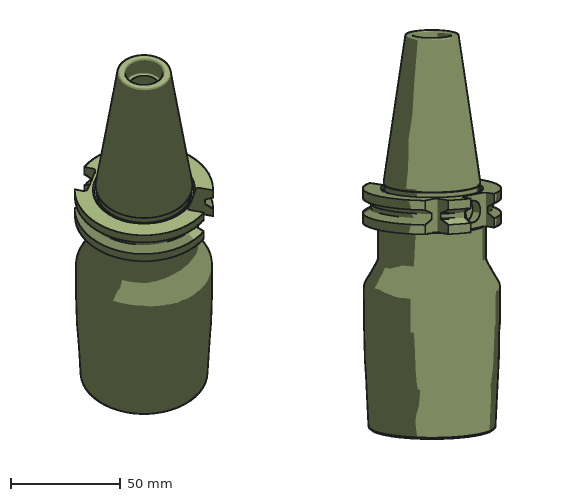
import cadquery as cq
import math

total_height = 183.4
gauge_z = 115.0
gauge_band_height = 1.1
flange_top_z = 111.7
flange_bottom_z = 96.0
neck_bottom_z = 78.3
shoulder_bottom_z = 67.0
body_bottom_z = 49.9
nose_cone_z = 23.3

body_diameter = 62.5
gauge_radius = 22.2
relief_radius = 21.8
flange_radius = 31.7
groove_radius = 28.0
neck_radius = 24.8
body_radius = body_diameter / 2
nose_cone_radius = 30.3
nose_radius = 29.2

taper_slope = 7 / 24
groove_flank_angle = math.radians(30)
nose_chamfer = 1.0
taper_end_round = 1.0
shoulder_blend = 4.5
groove_root_round = 0.5

face_groove_radius = 23.5
face_groove_floor_radius = 22.7
face_groove_depth = 1.0
neck_fillet = 0.7

groove_mouth_width = 7.0
groove_z = (flange_top_z + flange_bottom_z) / 2

bore_mouth_radius = 9.5
bore_radius = 8.6
bore_depth = 8.5
bore_floor_round = 0.5
thread_radius = 7.0
thread_depth = 31.2
drill_point_angle = math.radians(59)

slot_width = 16.1
slot_floor_left = 25.0
slot_floor_right = 22.7
notch_wall = 18.3
corner_radius = 1.7
chip_diameter = 10.0
chip_depth = 4.5

flange_height = flange_top_z - flange_bottom_z
clear_radius = flange_radius + 1.8


def make_outer_body():
    """Revolve the taper, flange, neck, shoulder and barrel-shaped chuck."""
    top_radius = gauge_radius - (total_height - gauge_z) * taper_slope / 2
    relief_top_z = gauge_z - gauge_band_height
    relief_step = gauge_radius - relief_radius
    groove_floor_z = flange_top_z - face_groove_depth
    profile = (
        cq.Workplane("XZ")
        .moveTo(0, total_height)
        .lineTo(top_radius, total_height)
        .lineTo(gauge_radius, gauge_z)
        .lineTo(gauge_radius, relief_top_z)
        .lineTo(relief_radius, relief_top_z - relief_step)
        .lineTo(relief_radius, groove_floor_z)
        .lineTo(face_groove_floor_radius, groove_floor_z)
        .lineTo(face_groove_radius, flange_top_z)
        .lineTo(flange_radius, flange_top_z)
        .lineTo(flange_radius, flange_bottom_z)
        .lineTo(neck_radius, flange_bottom_z)
        .lineTo(neck_radius, neck_bottom_z)
        .lineTo(body_radius, shoulder_bottom_z)
        .lineTo(body_radius, body_bottom_z)
        .tangentArcPoint((nose_cone_radius, nose_cone_z), relative=False)
        .lineTo(nose_radius, nose_chamfer)
        .lineTo(nose_radius - nose_chamfer, 0)
        .lineTo(0, 0)
        .close()
    )
    body = profile.revolve(360, (0, 0, 0), (0, 1, 0))
    for corner_z in (neck_bottom_z, shoulder_bottom_z):
        body = body.edges(circle_at(corner_z)).fillet(shoulder_blend)
    neck_corner = cq.selectors.RadiusNthSelector(0)
    body = body.edges(circle_at(flange_bottom_z)).edges(neck_corner).fillet(neck_fillet)
    return body.edges(circle_at(total_height)).fillet(taper_end_round)


def circle_at(z):
    """Select the edges lying at height z."""
    margin = 0.02
    low_corner = (-clear_radius, -clear_radius, z - margin)
    high_corner = (clear_radius, clear_radius, z + margin)
    return cq.selectors.BoxSelector(low_corner, high_corner)


def make_gripper_groove():
    """Ring with a trapezoid section that cuts the V groove in the rim."""
    flank = (flange_radius - groove_radius) * math.tan(groove_flank_angle)
    half_mouth = groove_mouth_width / 2
    half_root = half_mouth - flank
    ring = (
        cq.Workplane("XZ")
        .moveTo(groove_radius, groove_z - half_root)
        .lineTo(flange_radius, groove_z - half_mouth)
        .lineTo(clear_radius, groove_z - half_mouth)
        .lineTo(clear_radius, groove_z + half_mouth)
        .lineTo(flange_radius, groove_z + half_mouth)
        .lineTo(groove_radius, groove_z + half_root)
        .close()
        .revolve(360, (0, 0, 0), (0, 1, 0))
    )
    for root_z in (groove_z - half_root, groove_z + half_root):
        ring = ring.edges(circle_at(root_z)).fillet(groove_root_round)
    return ring


def make_pull_stud_bore():
    """Stepped blind bore with a rounded mouth, a rounded step and a drill point."""
    step_z = total_height - bore_depth
    thread_end_z = total_height - thread_depth
    point_z = thread_end_z - thread_radius / math.tan(drill_point_angle)
    mouth_round = bore_mouth_radius - bore_radius
    arc_middle = 1 - math.sqrt(0.5)
    return (
        cq.Workplane("XZ")
        .moveTo(0, total_height)
        .lineTo(bore_mouth_radius, total_height)
        .threePointArc(
            (bore_radius + mouth_round * arc_middle, total_height - mouth_round * arc_middle),
            (bore_radius, total_height - mouth_round),
        )
        .lineTo(bore_radius, step_z + bore_floor_round)
        .threePointArc(
            (bore_radius - bore_floor_round * arc_middle, step_z + bore_floor_round * arc_middle),
            (bore_radius - bore_floor_round, step_z),
        )
        .lineTo(thread_radius, step_z)
        .lineTo(thread_radius, thread_end_z)
        .lineTo(0, point_z)
        .close()
        .revolve(360, (0, 0, 0), (0, 1, 0))
    )


def make_flange_cutter(x_min, x_max, y_min, y_max, rounded_edges):
    """Block through the flange thickness with the chosen vertical edges rounded."""
    block = (
        cq.Workplane("XY", origin=(0, 0, flange_bottom_z))
        .moveTo((x_min + x_max) / 2, (y_min + y_max) / 2)
        .rect(x_max - x_min, y_max - y_min)
        .extrude(flange_height)
    )
    return block.edges(rounded_edges).fillet(corner_radius)


def make_chip_pocket():
    """Round blind pocket in the floor of the -X drive slot."""
    return (
        cq.Workplane("YZ", origin=(-slot_floor_left, 0, groove_z))
        .circle(chip_diameter / 2)
        .extrude(chip_depth)
    )


half_slot = slot_width / 2
slot_left = make_flange_cutter(-clear_radius, -slot_floor_left, -half_slot, half_slot, "|Z and >X")
slot_right = make_flange_cutter(slot_floor_right, clear_radius, -half_slot, half_slot, "|Z and <X")
notch = make_flange_cutter(-clear_radius, -notch_wall, notch_wall, clear_radius, "|Z and >X and <Y")

result = (
    make_outer_body()
    .cut(make_gripper_groove())
    .cut(make_pull_stud_bore())
    .cut(slot_left)
    .cut(slot_right)
    .cut(notch)
    .cut(make_chip_pocket())
)